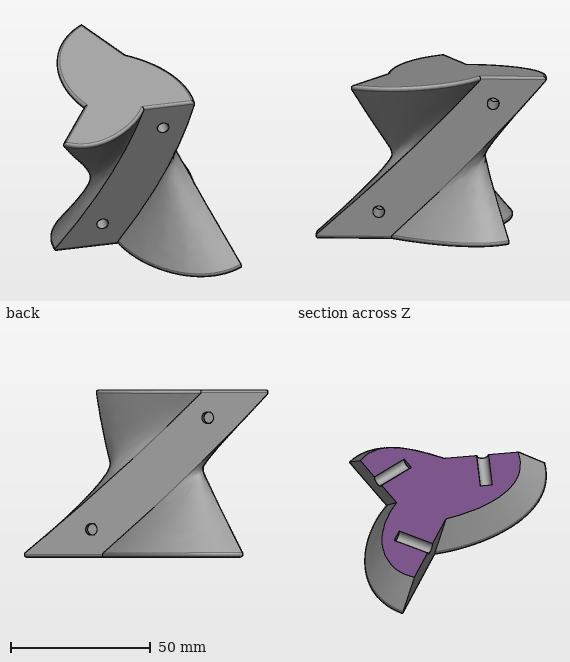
import cadquery as cq
import math

HEIGHT = 60.0
AXIS_X, AXIS_Y = -4.0, 0.9
PLANE_DISTANCE = 12.15
FIRST_NORMAL_ANGLE = 206.8
EDGE_RADIUS = 1.0
GAP_SAMPLES = 12
SURFACE_TOLERANCE = 0.001

HOLE_DIAMETER = 4.2
HOLE_DEPTH = 13.1
HOLE_END_DISTANCE = HEIGHT / 6

BANDS = [
    {"bottom": (-45.8, -18.4), "top": (16.0, 39.3), "holes": (-21.8, 19.3), "bow": 1.75},
    {"bottom": (-30.8, -7.8), "top": (3.1, 21.5), "holes": (-12.4, 9.7), "bow": 3.5},
    {"bottom": (-48.7, -20.45), "top": (17.6, 41.8), "holes": (-22.9, 18.9), "bow": 1.75},
]

GAPS = [
    {"bottom": [(-23.4, -14.7), (-17.5, -26.9)], "top": [(9.9, -34.3), (13.1, -20.7)]},
    {"bottom": [(11.6, -13.7), (37.3, -5.8)], "top": [(6.7, 17.1), (-8.4, 17.8)]},
    {"bottom": [(3.3, 28.5), (-21.2, 40.1)], "top": [(-41.25, 1.2), (-26.0, -13.6)]},
]
LEVELS = {"bottom": 0.0, "top": HEIGHT}


def band_normal(index):
    angle = math.radians(FIRST_NORMAL_ANGLE + index * 360 / len(BANDS))
    return cq.Vector(math.cos(angle), math.sin(angle), 0)


def band_tangent(index):
    normal = band_normal(index)
    return cq.Vector(-normal.y, normal.x, 0)


def band_point(index, along, z):
    """Point on a band plane, measured counter-clockwise from the middle of the plane."""
    normal = band_normal(index)
    centre = cq.Vector(AXIS_X, AXIS_Y, z)
    return centre + normal * PLANE_DISTANCE + band_tangent(index) * along


def gap_edge(index, level):
    following = (index + 1) % len(BANDS)
    z = LEVELS[level]
    start = band_point(index, BANDS[index][level][1], z)
    end = band_point(following, BANDS[following][level][0], z)
    through = [cq.Vector(x, y, z) for x, y in GAPS[index][level]]
    return cq.Edge.makeSpline([start, *through, end])


def gap_face(index):
    """Surface from the bottom rim to the top rim, bowed sideways to meet the band sides."""
    following = (index + 1) % len(BANDS)
    lower, upper = gap_edge(index, "bottom"), gap_edge(index, "top")
    bow_start = band_tangent(index) * BANDS[index]["bow"]
    bow_end = band_tangent(following) * BANDS[following]["bow"]
    rows = []
    for i in range(GAP_SAMPLES + 1):
        across = i / GAP_SAMPLES
        bottom, top = lower.positionAt(across), upper.positionAt(across)
        bow = bow_start * (1 - across) + bow_end * across
        row = []
        for j in range(GAP_SAMPLES + 1):
            up = j / GAP_SAMPLES
            row.append(bottom * (1 - up) + top * up + bow * (4 * up * (1 - up)))
        rows.append(row)
    return cq.Face.makeSplineApprox(rows, tol=SURFACE_TOLERANCE, minDeg=3, maxDeg=3)


def edge_nearest(face, target):
    return min(face.Edges(), key=lambda edge: (edge.positionAt(0.5) - target).Length)


def joining_line(edge_a, edge_b, level):
    """Straight edge between the ends of two band sides at one level."""
    ends = []
    for edge in (edge_a, edge_b):
        points = (edge.startPoint(), edge.endPoint())
        ends.append(min(points, key=lambda point: abs(point.z - LEVELS[level])))
    return cq.Edge.makeLine(*ends)


def side_middle(index, end):
    """Halfway point of a leaning band side; end is 0 for its first side, 1 for its last."""
    band = BANDS[index]
    along = (band["bottom"][end] + band["top"][end]) / 2 + band["bow"]
    return band_point(index, along, HEIGHT / 2)


def make_body():
    gap_faces = [gap_face(index) for index in range(len(BANDS))]
    faces = list(gap_faces)
    rims = {level: [] for level in LEVELS}
    for index in range(len(BANDS)):
        first_side = edge_nearest(gap_faces[index - 1], side_middle(index, 0))
        last_side = edge_nearest(gap_faces[index], side_middle(index, 1))
        outline = [first_side, last_side]
        for level in LEVELS:
            line = joining_line(first_side, last_side, level)
            outline.append(line)
            rim_middle = gap_edge(index, level).positionAt(0.5)
            rims[level] += [line, edge_nearest(gap_faces[index], rim_middle)]
        faces.append(cq.Face.makeFromWires(cq.Wire.combine(outline, SURFACE_TOLERANCE)[0]))
    for rim in rims.values():
        faces.append(cq.Face.makeFromWires(cq.Wire.combine(rim, SURFACE_TOLERANCE)[0]))
    return cq.Workplane(cq.Solid.makeSolid(cq.Shell.makeShell(faces)).fix())


def make_holes():
    holes = cq.Workplane()
    for index, band in enumerate(BANDS):
        for along, z in zip(band["holes"], (HOLE_END_DISTANCE, HEIGHT - HOLE_END_DISTANCE)):
            centre = band_point(index, along, z)
            holes = holes.add(
                cq.Solid.makeCylinder(HOLE_DIAMETER / 2, HOLE_DEPTH, centre, -band_normal(index))
            )
    return holes.combine()


body = make_body()
rounded = body.edges("<Z or >Z").fillet(EDGE_RADIUS)
result = rounded.cut(make_holes())